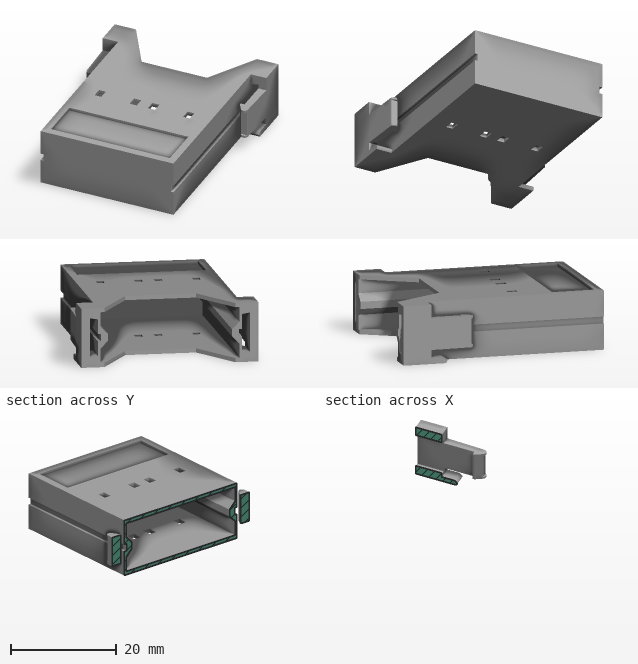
import cadquery as cq
import math

width = 34.0
length = 40.4
height = 11.4
half_width = width / 2
front_y = -length / 2
back_y = length / 2
mid_z = height / 2

body_half_width = 13.8
shoulder_length = 5.45
shoulder_y = back_y - shoulder_length
slab_thickness = 0.8
side_wall = 0.5
front_wall = 1.0

recess_depth = 10.0
recess_floor_half_width = 6.8
recess_side_angle = 30.0
recess_mouth_half_width = recess_floor_half_width + recess_depth * math.tan(math.radians(recess_side_angle))

groove_width = 1.4
groove_depth = 0.55
rib_height = 1.4

window_length = 2.0
window_center_y = -3.3
outer_window_width = 1.4
outer_window_center_x = 9.2
inner_window_width = 1.5
inner_window_center_x = 1.9
label_width = 24.7
label_length = 8.35
label_front_margin = 1.5
label_depth = 0.6

opening_outer_x = 15.37
opening_outer_height = 7.6
opening_inner_height = 7.1

clip_width = 6.0
clip_length = 8.45
clip_taper = 0.26
clip_tip_radius = 0.7
clip_tip_leave_angle = 205.0
clip_hook_x = 14.6
clip_hook_rise = 2.15
clip_hook_land = 0.4
clip_tip_edge = 0.45
clip_tip_relief = 0.43

tab_height = 1.1
tab_length = 3.15
tab_flat_length = 2.4
tab_base_length = 2.9
tab_nose_z = 0.5
tab_nose_radius = 1.1

overcut = 1.0


def box(x_min, x_max, y_min, y_max, z_min, z_max):
    return cq.Workplane("XY").box(
        x_max - x_min, y_max - y_min, z_max - z_min, centered=False
    ).translate((x_min, y_min, z_min))


def both_sides(feature):
    """Return the +X feature together with its mirror image on -X."""
    return feature.union(feature.mirror("YZ"))


def make_outer_block():
    body = box(-body_half_width, body_half_width, front_y, back_y, 0, height)
    shoulders = box(-half_width, half_width, shoulder_y, back_y, 0, height)
    recess = (
        cq.Workplane("XY")
        .moveTo(-recess_mouth_half_width, back_y)
        .lineTo(-recess_floor_half_width, back_y - recess_depth)
        .lineTo(recess_floor_half_width, back_y - recess_depth)
        .lineTo(recess_mouth_half_width, back_y)
        .close()
        .extrude(height)
    )
    return body.union(shoulders).cut(recess)


def make_cavity():
    """Inside of the shell, open at the back."""
    inner_x = body_half_width - side_wall
    return box(-inner_x, inner_x, front_y + front_wall, back_y + overcut,
               slab_thickness, height - slab_thickness)


def make_rib():
    """Rib with 45-degree flanks along the inside of the +X side wall."""
    wall_x = body_half_width - side_wall
    crest_half = groove_width / 2
    root_half = crest_half + rib_height
    return (
        cq.Workplane("XZ", origin=(0, back_y, mid_z))
        .moveTo(wall_x, -root_half)
        .lineTo(wall_x - rib_height, -crest_half)
        .lineTo(wall_x - rib_height, crest_half)
        .lineTo(wall_x, root_half)
        .close()
        .extrude(length - front_wall)
    )


def make_groove():
    """Guide groove along the full length of the +X side wall."""
    return box(body_half_width - groove_depth, body_half_width, front_y, back_y,
               mid_z - groove_width / 2, mid_z + groove_width / 2)


def make_opening():
    """Opening through the +X shoulder, a little taller on its outer side."""
    return (
        cq.Workplane("XZ", origin=(0, back_y, mid_z))
        .moveTo(body_half_width, -opening_inner_height / 2)
        .lineTo(opening_outer_x, -opening_outer_height / 2)
        .lineTo(opening_outer_x, opening_outer_height / 2)
        .lineTo(body_half_width, opening_inner_height / 2)
        .close()
        .extrude(shoulder_length)
    )


def make_clip():
    """Hooked snap arm on the +X shoulder."""
    tip_y = shoulder_y - clip_length
    outer_x = half_width - clip_taper
    round_x = outer_x - clip_tip_radius
    round_y = tip_y + clip_tip_radius
    hook_y = tip_y + clip_hook_rise
    leave_angle = math.radians(clip_tip_leave_angle)
    middle_angle = (leave_angle + 2 * math.pi) / 2

    def on_tip(angle):
        return (round_x + clip_tip_radius * math.cos(angle),
                round_y + clip_tip_radius * math.sin(angle))

    arm = (
        cq.Workplane("XY", origin=(0, 0, mid_z))
        .moveTo(opening_outer_x, shoulder_y)
        .lineTo(half_width, shoulder_y)
        .lineTo(outer_x, round_y)
        .threePointArc(on_tip(middle_angle), on_tip(leave_angle))
        .lineTo(clip_hook_x, hook_y - clip_hook_land)
        .lineTo(clip_hook_x, hook_y)
        .lineTo(opening_outer_x, hook_y)
        .close()
        .extrude(clip_width / 2, both=True)
    )
    relief_half = clip_width / 2 - clip_tip_edge
    relief = box(clip_hook_x, half_width, tip_y, tip_y + clip_tip_relief,
                 mid_z - relief_half, mid_z + relief_half)
    return arm.cut(relief)


def make_tab():
    """Round-nosed tab at the foot of the +X shoulder."""
    nose_y = shoulder_y - tab_length
    flat_y = shoulder_y - tab_flat_length
    base_y = shoulder_y - tab_base_length
    return (
        cq.Workplane("YZ", origin=(body_half_width, 0, 0))
        .moveTo(shoulder_y, 0)
        .lineTo(shoulder_y, tab_height)
        .lineTo(flat_y, tab_height)
        .radiusArc((nose_y, tab_nose_z), -tab_nose_radius)
        .radiusArc((base_y, 0), -tab_nose_radius)
        .close()
        .extrude(half_width - body_half_width)
    )


def make_window(center_x, window_width):
    return box(center_x - window_width / 2, center_x + window_width / 2,
               window_center_y - window_length / 2, window_center_y + window_length / 2,
               0, height)


def make_label_pocket():
    label_y = front_y + label_front_margin
    return box(-label_width / 2, label_width / 2, label_y, label_y + label_length,
               height - label_depth, height)


result = make_outer_block().cut(make_cavity())
result = result.union(both_sides(make_rib()))
result = result.cut(both_sides(make_groove()))
result = result.cut(both_sides(make_opening()))
result = result.union(both_sides(make_clip()))
result = result.union(both_sides(make_tab()))
result = result.cut(both_sides(make_window(outer_window_center_x, outer_window_width)))
result = result.cut(both_sides(make_window(inner_window_center_x, inner_window_width)))
result = result.cut(make_label_pocket())